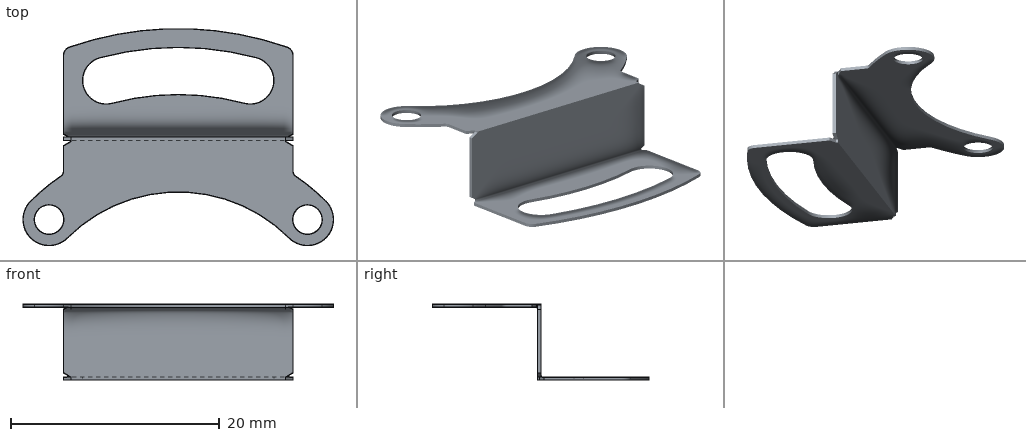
import cadquery as cq
import math

sheet = 0.3
wall_thickness = 0.35
width = 29.75
depth = 20.8
height = 7.3
body_half_width = 11.0
bend_radius = 0.15

inner_edge_radius = 15.0
lug_radius = 2.5
lug_hole_radius = 1.4
lug_x = width / 2 - lug_radius
lug_pitch_radius = inner_edge_radius + lug_radius
outer_edge_radius = lug_pitch_radius + lug_radius
arc_center_y = -19.93
lug_y = arc_center_y + math.sqrt(lug_pitch_radius**2 - lug_x**2)
front_y = lug_y - lug_radius
back_y = front_y + depth
neck_fillet = 0.5
pick_margin = 0.15

back_edge_radius = 31.54
back_corner_radius = 0.9
slot_pitch_radius = 26.6
slot_width = 4.5
slot_end_x = 6.9

neck_half_width = 10.3
relief_slope = 1.4
upper_neck = 0.3
lower_flange_neck = 0.7
lower_wall_neck = 1.0


def disc(radius, thickness, x=0, y=0):
    return cq.Workplane("XY").center(x, y).circle(radius).extrude(thickness)


def block(y_min, y_max, z_min, z_max):
    return cq.Workplane("XY").box(
        2 * body_half_width, y_max - y_min, z_max - z_min, centered=(True, False, False)
    ).translate((0, y_min, z_min))


def point_on_arc(radius, x):
    return (x, arc_center_y + math.sqrt(radius**2 - x**2))


def make_upper_flange():
    """Plate with a concave front edge and two round lugs."""
    body = disc(outer_edge_radius, sheet, 0, arc_center_y)
    sector = (
        cq.Workplane("XY")
        .polyline([(0, arc_center_y), (-2 * lug_x, 2 * lug_y - arc_center_y),
                   (2 * lug_x, 2 * lug_y - arc_center_y)])
        .close()
        .extrude(sheet)
    )
    body = body.intersect(sector)
    body = body.union(block(lug_y, 0, 0, sheet))
    body = body.cut(disc(inner_edge_radius, sheet, 0, arc_center_y))
    corner_y = point_on_arc(outer_edge_radius, body_half_width)[1]
    for side in (-1, 1):
        corner = cq.selectors.BoxSelector(
            (side * body_half_width - pick_margin, corner_y - pick_margin, -sheet),
            (side * body_half_width + pick_margin, corner_y + pick_margin, 2 * sheet),
        )
        body = body.edges("|Z").edges(corner).fillet(neck_fillet)
    for side in (-1, 1):
        body = body.union(disc(lug_radius, sheet, side * lug_x, lug_y))
    for side in (-1, 1):
        body = body.cut(disc(lug_hole_radius, sheet, side * lug_x, lug_y))
    return body.translate((0, 0, height - sheet))


def make_slot():
    """Curved slot with round ends, following the shared arc centre."""
    half = slot_width / 2
    end_x, end_y = point_on_arc(slot_pitch_radius, slot_end_x)
    ux = end_x / slot_pitch_radius
    uy = (end_y - arc_center_y) / slot_pitch_radius
    outer = (end_x + half * ux, end_y + half * uy)
    inner = (end_x - half * ux, end_y - half * uy)
    tip = (end_x + half * uy, end_y - half * ux)
    return (
        cq.Workplane("XY")
        .moveTo(-outer[0], outer[1])
        .threePointArc((0, arc_center_y + slot_pitch_radius + half), outer)
        .threePointArc(tip, inner)
        .threePointArc((0, arc_center_y + slot_pitch_radius - half), (-inner[0], inner[1]))
        .threePointArc((-tip[0], tip[1]), (-outer[0], outer[1]))
        .close()
        .extrude(sheet)
    )


def make_lower_flange():
    """Plate with a convex back edge, rounded back corners and a slot."""
    plate = block(0, back_y, 0, sheet)
    plate = plate.intersect(disc(back_edge_radius, sheet, 0, back_y - back_edge_radius))
    plate = plate.edges("|Z").edges(">Y").fillet(back_corner_radius)
    return plate.cut(make_slot())


def make_bend_fillet(y, z, direction):
    """Concave fillet filling an inside corner along X."""
    reach = direction * bend_radius
    bulge = reach * (1 - math.sqrt(0.5))
    return (
        cq.Workplane("YZ")
        .moveTo(y, z)
        .lineTo(y + reach, z)
        .threePointArc((y + bulge, z + bulge), (y, z + reach))
        .close()
        .extrude(body_half_width, both=True)
    )


def relief_outline(plane, side, edge, inward, neck):
    """Cutter outline: straight neck first, then a slope back to full width."""
    neck_end = edge + inward * neck
    slope_end = neck_end + inward * relief_slope
    points = [(neck_half_width, edge), (neck_half_width, neck_end),
              (body_half_width, slope_end), (body_half_width, edge)]
    return cq.Workplane(plane).polyline([(side * x, v) for x, v in points]).close()


def cut_flange_relief(flange, inward, neck):
    for side in (-1, 1):
        outline = relief_outline("XY", side, 0, inward, neck)
        flange = flange.cut(outline.extrude(height))
    return flange


def cut_wall_relief(wall, edge, inward, neck):
    for side in (-1, 1):
        outline = relief_outline("XZ", side, edge, inward, neck)
        wall = wall.cut(outline.extrude(2 * wall_thickness, both=True))
    return wall


upper_flange = make_upper_flange().union(make_bend_fillet(0, height - sheet, -1))
upper_flange = cut_flange_relief(upper_flange, -0.3, upper_neck)

lower_flange = make_lower_flange().union(make_bend_fillet(wall_thickness, sheet, 1))
lower_flange = cut_flange_relief(lower_flange, 0.3, lower_flange_neck)

wall = block(0, wall_thickness, 0, height)
wall = cut_wall_relief(wall, height, -0.3, upper_neck)
wall = cut_wall_relief(wall, 0, 0.3, lower_wall_neck)

result = wall.union(upper_flange).union(lower_flange)